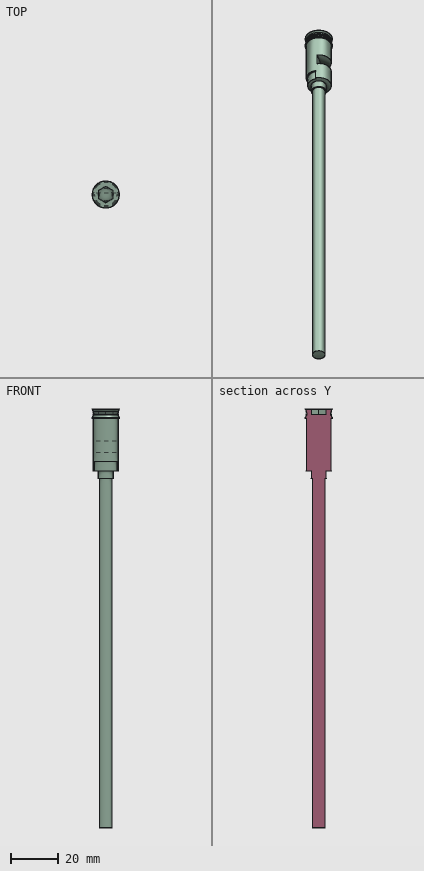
import cadquery as cq
import math

total_height = 176.5
lip_height = 0.9
groove_top = total_height - 1.6
groove_bottom = groove_top - 0.7
lower_lip_top = total_height - 2.5
lower_lip_bottom = total_height - 3.9
lower_lip_rim = 0.4
relief_top = total_height - 22.0
barrel_bottom = total_height - 26.1
collar_bottom = total_height - 29.3

lip_diameter = 11.5
barrel_diameter = 10.6
groove_depth = 0.2
relief_diameter = 9.4
collar_diameter = 6.4
rod_diameter = 5.3

notch_top = total_height - 13.5
notch_height = 4.8
notch_floor_y = 0.7

socket_across_flats = 6.0
socket_depth = 2.1


def make_body():
    """Revolve the stepped outline from the rod up to the lipped head."""
    lip_r = lip_diameter / 2
    barrel_r = barrel_diameter / 2
    groove_r = barrel_r - groove_depth
    collar_r = collar_diameter / 2
    rod_r = rod_diameter / 2
    outline = [
        (0, 0),
        (rod_r, 0),
        (rod_r, collar_bottom),
        (collar_r, collar_bottom),
        (collar_r, barrel_bottom),
        (barrel_r, barrel_bottom),
        (barrel_r, lower_lip_bottom),
        (lip_r, lower_lip_bottom),
        (lip_r, lower_lip_bottom + lower_lip_rim),
        (barrel_r, lower_lip_top),
        (barrel_r, groove_bottom),
        (groove_r, groove_bottom),
        (groove_r, groove_top),
        (barrel_r, groove_top),
        (barrel_r, total_height - lip_height),
        (lip_r, total_height),
        (0, total_height),
    ]
    return cq.Workplane("XZ").polyline(outline).close().revolve(360, (0, 0), (0, 1))


def make_relief():
    """Half ring that thins the barrel foot on its -Y side."""
    height = relief_top - barrel_bottom
    ring = (
        cq.Workplane("XY", origin=(0, 0, barrel_bottom))
        .circle(lip_diameter / 2)
        .circle(relief_diameter / 2)
        .extrude(height)
    )
    front_half = cq.Workplane("XY", origin=(0, 0, barrel_bottom)).box(
        lip_diameter, lip_diameter, height, centered=(True, False, False)
    ).translate((0, -lip_diameter, 0))
    return ring.intersect(front_half)


def make_notch():
    """Block running through the barrel along X and open towards +Y."""
    return cq.Workplane("XY", origin=(0, notch_floor_y, notch_top - notch_height)).box(
        lip_diameter, lip_diameter, notch_height, centered=(True, False, False)
    )


def make_socket():
    """Hexagonal prism with its corners pointing along Y."""
    across_corners = socket_across_flats / math.cos(math.radians(30))
    return (
        cq.Workplane("XY", origin=(0, 0, total_height - socket_depth))
        .transformed(rotate=(0, 0, 90))
        .polygon(6, across_corners)
        .extrude(socket_depth)
    )


result = make_body().cut(make_relief()).cut(make_notch()).cut(make_socket())